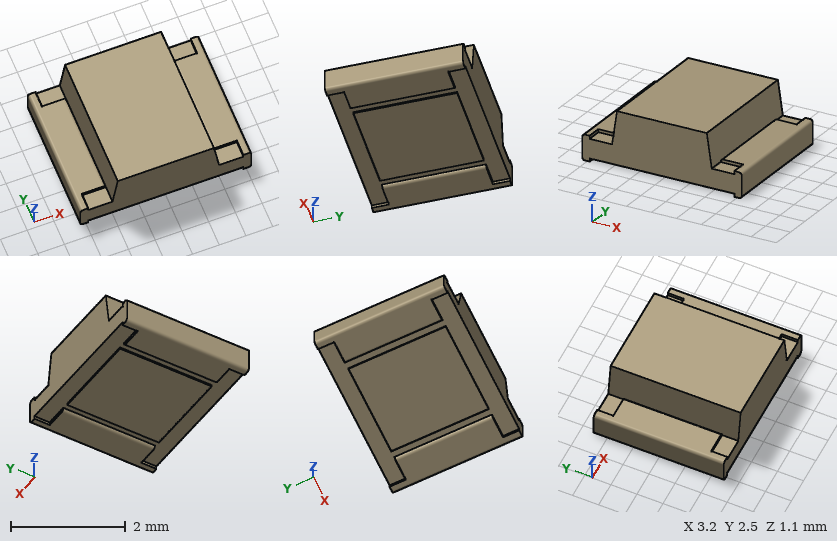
import cadquery as cq

length = 3.2
width = 2.5
height = 1.1

metal_thickness = 0.06
terminal_height = 0.5
terminal_length = 0.6
edge_radius = metal_thickness
notch_start = 0.15
notch_width = 0.31

body_top_length = 1.8
pad_length = 1.74
pad_thickness = 0.03

board_length = length - 2 * metal_thickness
board_bottom = metal_thickness
board_top = terminal_height - metal_thickness
body_base_length = length - 2 * terminal_length


def block(size_x, size_y, bottom, top, center_x=0, center_y=0):
    """Box with a given plan size and centre, between two heights."""
    box = cq.Workplane("XY").box(size_x, size_y, top - bottom, centered=(True, True, False))
    return box.translate((center_x, center_y, bottom))


def make_terminal(side):
    """C-shaped clip with rounded edges and notched corners; side is -1 or 1."""
    center_x = side * (length - terminal_length) / 2
    terminal = block(terminal_length, width, 0, terminal_height, center_x)
    terminal = terminal.edges("|Y").fillet(edge_radius)
    terminal = terminal.cut(block(board_length, width, board_bottom, board_top))

    notch_length = terminal_length - notch_start
    notch_x = side * (length / 2 - notch_start - notch_length / 2)
    for end in (-1, 1):
        notch_y = end * (width - notch_width) / 2
        terminal = terminal.cut(
            block(notch_length, notch_width, 0, terminal_height, notch_x, notch_y)
        )
    return terminal


def make_body():
    """Trapezoidal body whose two X sides lean inward."""
    return (
        cq.Workplane("XZ")
        .moveTo(-body_base_length / 2, board_top)
        .lineTo(body_base_length / 2, board_top)
        .lineTo(body_top_length / 2, height)
        .lineTo(-body_top_length / 2, height)
        .close()
        .extrude(width / 2, both=True)
    )


pad_width = width - 2 * notch_width
board = block(board_length, width, board_bottom, board_top)
pad = block(pad_length, pad_width, board_bottom - pad_thickness, board_bottom)

result = board
for piece in (pad, make_body(), make_terminal(-1), make_terminal(1)):
    result = result.union(piece, clean=False)